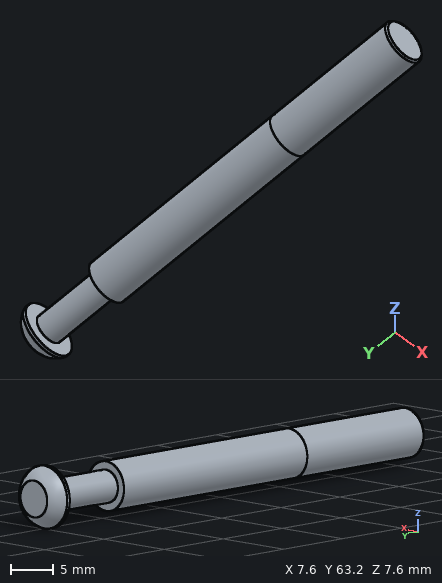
import cadquery as cq
import math

body_diameter = 6.0
rod_length = 20.0
rod_chamfer = 0.25
sleeve_length = 31.0
shank_diameter = 4.0
shank_length = 10.0
head_diameter = 7.6
head_height = 2.2
head_rim = 0.45
crown_diameter = 4.4
dome_bulge = 0.25

sleeve_start = rod_length
shank_start = sleeve_start + sleeve_length
head_start = shank_start + shank_length


def cylinder_along_y(diameter, start, length):
    """Solid cylinder on the Y axis, running from start toward +Y."""
    plane = cq.Workplane("XZ", origin=(0, start, 0))
    return plane.circle(diameter / 2).extrude(-length)


def make_rod():
    """Plain rod with a chamfered free end."""
    return cylinder_along_y(body_diameter, 0, rod_length).faces("<Y").chamfer(rod_chamfer)


def make_sleeve():
    """Plain cylindrical body between the rod and the screw."""
    return cylinder_along_y(body_diameter, sleeve_start, sleeve_length)


def make_head():
    """Button head: thin rim, domed side and flat crown."""
    rim_radius = head_diameter / 2
    crown_radius = crown_diameter / 2
    rim_top = head_start + head_rim
    crown_top = head_start + head_height
    radial_run = rim_radius - crown_radius
    axial_run = crown_top - rim_top
    chord = math.hypot(radial_run, axial_run)
    dome_middle = (
        (rim_radius + crown_radius) / 2 + dome_bulge * axial_run / chord,
        (rim_top + crown_top) / 2 + dome_bulge * radial_run / chord,
    )
    return (
        cq.Workplane("XY")
        .moveTo(0, head_start)
        .lineTo(rim_radius, head_start)
        .lineTo(rim_radius, rim_top)
        .threePointArc(dome_middle, (crown_radius, crown_top))
        .lineTo(0, crown_top)
        .close()
        .revolve(360, (0, 0, 0), (0, 1, 0))
    )


def make_screw():
    """Button-head screw with its shank seated against the sleeve."""
    shank = cylinder_along_y(shank_diameter, shank_start, shank_length)
    return shank.union(make_head())


rod = make_rod()
sleeve = make_sleeve()
screw = make_screw()

result = cq.Compound.makeCompound([rod.val(), sleeve.val(), screw.val()])